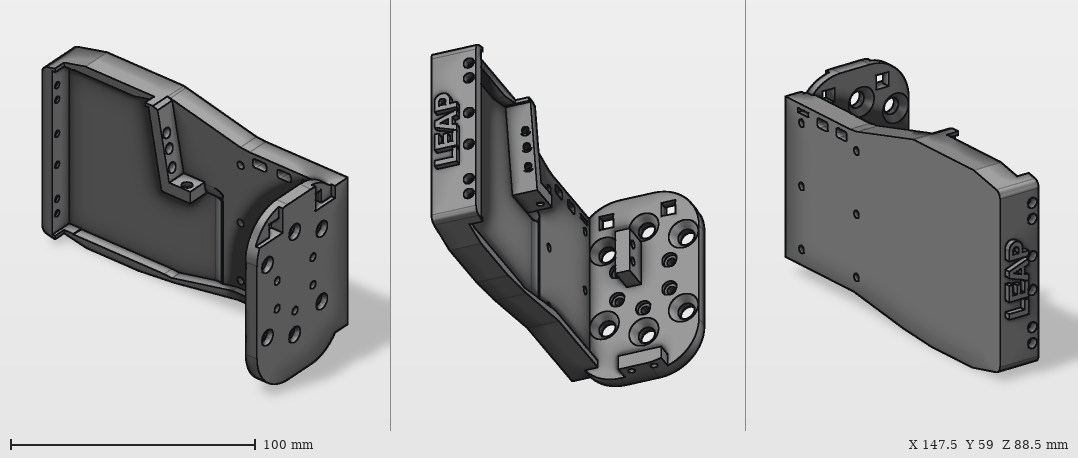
import cadquery as cq
import math


LENGTH = 147.5
DEPTH = 59.0
HEIGHT = 88.5

LETTER_RELIEF = 2.8
TRAY_LEFT = LETTER_RELIEF
POCKET_FLOOR = 8.8
ARM_FLOOR = 10.5
LEDGE_FLOOR = 10.2
RIM_HEIGHT = 14.0
WALL_HEIGHT = 19.9
TRAY_BOTTOM = 0.6
ARM_BOTTOM = 7.5
ARM_TOP = 78.8
TRAY_CORNER_RADIUS = 3.4

END_WALL_INNER = 8.1
HOOK_END = 9.6
INNER_BOTTOM = 4.7
INNER_TOP = 84.1
RIM_JOG_X = 14.5
RIM_JOG = 0.3
ARM_RIM_INNER = 10.8

SLANT_LEFT_TOP = (58.7, 87.2)
SLANT_LEFT_FOOT = (65.6, 49.0)
SLANT_RIGHT_TOP = (63.5, 87.5)
SLANT_RIGHT_FOOT = (69.6, 54.7)
SLANT_THICKNESS = 5.0
SLANT_SHOULDER_X = 57.0
SLANT_CREST_X = 61.0
BLOCK_END = 80.7

STEP_START = 84.8
STEP_END = 89.1
LEDGE_END = 90.1
RELIEF_TOP = 54.0
RELIEF_CORNER_Z = 52.0
RELIEF_ARC_MIDDLE = (88.2, 53.4)

SCREW_DEPTH = 16.7
SCREW_HOLE = 3.0
SCREW_SEAT = 4.5
SCREW_SHOULDER = 1.2
SCREW_OVERRUN = 0.5
MIDDLE_Z = 44.5
END_SCREW_OFFSETS = (7.5, 24.0, 31.1)
SLANT_SCREW_Z = (60.0, 68.6, 75.7)
BLOCK_SCREW_X = 76.4

ARM_HOLE = 3.4
ARM_HOLE_X = (99.5, 136.6)
ARM_HOLE_Z = 42.5
ARM_HOLE_PITCH = 28.0
CABLE_SLOT_X = (109.6, 122.4)
CABLE_SLOT_Z = 74.5
CABLE_SLOT_SIZE = (7.4, 4.1)
CABLE_SLOT_CORNER = 1.5
STRAP_SLOT_CENTRE = (135.5, 75.5)
STRAP_SLOT_SIZE = (7.0, 1.9)

FLANGE_FACE = 141.5
FLANGE_BACK_EDGE = 3.8
FLANGE_HEIGHT = 85.0
FLANGE_RADIUS = 20.0
BOLT_CENTRE_Y = -34.5
BOLT_CIRCLE_RADIUS = 25.0
BOLT_HOLE = 7.2
BOLT_HEAD = 13.1
BOLT_ANGLES = (45, 90, 135, 225, 270, 315)
HORN_CENTRE_Y = -34.2
HORN_CIRCLE_RADIUS = 13.4
HORN_HOLE = 3.5
HORN_HEAD = 6.5
HORN_HEAD_DEPTH = 2.0
HORN_ANGLES = (30, 150, 210, 270, 330)
WINDOW_SIZE = 6.3
WINDOW_BOTTOM = 72.9
WINDOW_Y = (-21.0, -48.5)
RECESS_DEPTH = 2.0
RECESS_BACK_EDGE = 8.3

UPPER_LUG_X = 129.5
UPPER_LUG_Y = (-33.3, -27.0)
UPPER_LUG_Z = (42.6, 62.7)
UPPER_LUG_HOLE = 3.5
UPPER_LUG_HOLE_X = 132.9
UPPER_LUG_HOLE_Z = (48.8, 57.0)
LOWER_LUG_X = 134.7
LOWER_LUG_Y = (-45.1, -26.1)
LOWER_LUG_TOP = 6.3
LOWER_LUG_HOLE = 3.0
LOWER_LUG_HOLE_X = 137.9
LOWER_LUG_HOLE_SPACING = 10.0

LETTER_BASE_Y = -12.5
LETTER_HEIGHT = 9.9
BAR = 1.9
STEM = 2.5
L_RANGE = (28.3, 35.3)
E_RANGE = (36.0, 43.4)
A_RANGE = (43.2, 53.1)
P_RANGE = (54.1, 62.1)
E_MIDDLE_SETBACK = 0.7
A_FOOT = 2.8
A_FOOT_SLOPE = 0.6
A_APEX = 3.0
A_COUNTER_WIDTH = 2.4
A_COUNTER_TIP = 7.4
P_BOWL_HEIGHT = 6.8
P_BOWL_RADIUS = 3.2

MARGIN = 7.4


def box(x_range, y_range, z_range):
    """Box spanning the given ranges."""
    sizes = [end - start for start, end in (x_range, y_range, z_range)]
    corner = (x_range[0], y_range[0], z_range[0])
    return cq.Workplane("XY").box(*sizes, centered=False).translate(corner)


def slab(points, start, end):
    """XZ outline filled between two heights above the back face."""
    return cq.Workplane("XZ", origin=(0, -start, 0)).polyline(points).close().extrude(end - start)


def cylinder(start, direction, diameter, length):
    return cq.Workplane(cq.Solid.makeCylinder(diameter / 2, length, cq.Vector(*start), cq.Vector(*direction)))


def tangent_arc_middle(run, rise):
    """Middle point of an arc that leaves the origin along the run and ends at (run, rise)."""
    radius = (run**2 + rise**2) / (2 * rise)
    half_angle = math.asin(run / radius) / 2
    return radius * math.sin(half_angle), radius * (1 - math.cos(half_angle))


def tray_outline(height):
    points = [
        (TRAY_LEFT, 4.4),
        (21.4, TRAY_BOTTOM),
        (49.0, TRAY_BOTTOM),
        (67.8, 2.4),
        (101.2, ARM_BOTTOM),
        (LENGTH, ARM_BOTTOM),
        (LENGTH, ARM_TOP),
        (104.1, ARM_TOP),
        (99.3, 79.2),
        (62.4, 88.2),
        (SLANT_CREST_X, HEIGHT),
        (20.6, HEIGHT),
        (TRAY_LEFT, 84.4),
    ]
    return slab(points, 0, height).edges("|Y").edges("<X").fillet(TRAY_CORNER_RADIUS)


def rim_interior(start, end):
    """Space inside the rim; the arm has no rim along its upper edge."""
    points = [
        (END_WALL_INNER, INNER_BOTTOM),
        (RIM_JOG_X, INNER_BOTTOM),
        (RIM_JOG_X, INNER_BOTTOM - RIM_JOG),
        (62.0, INNER_BOTTOM - RIM_JOG),
        (66.1, 4.1),
        (97.8, ARM_RIM_INNER),
        (LENGTH, ARM_RIM_INNER),
        (LENGTH, HEIGHT + MARGIN),
        (SLANT_CREST_X, HEIGHT + MARGIN),
        (SLANT_CREST_X, SLANT_LEFT_TOP[1]),
        SLANT_LEFT_TOP,
        (46.2, INNER_TOP + RIM_JOG),
        (RIM_JOG_X, INNER_TOP + RIM_JOG),
        (RIM_JOG_X, INNER_TOP),
        (END_WALL_INNER, INNER_TOP),
    ]
    return slab(points, start, end)


def deep_pocket():
    """Deeper floor left of the slanted wall and below its block, curving up to the arm floor."""
    rise = LEDGE_FLOOR - POCKET_FLOOR
    arc_x, arc_y = tangent_arc_middle(STEP_END - STEP_START, rise)
    lower = (
        cq.Workplane("XY")
        .moveTo(0, -POCKET_FLOOR)
        .lineTo(STEP_START, -POCKET_FLOOR)
        .threePointArc((STEP_START + arc_x, -POCKET_FLOOR - arc_y), (STEP_END, -LEDGE_FLOOR))
        .lineTo(LEDGE_END, -LEDGE_FLOOR)
        .lineTo(LEDGE_END, -ARM_FLOOR)
        .lineTo(0, -ARM_FLOOR)
        .close()
        .extrude(SLANT_LEFT_FOOT[1])
    )
    foot_z = SLANT_LEFT_FOOT[1]
    upper = slab(
        [(0, foot_z), SLANT_LEFT_FOOT, SLANT_LEFT_TOP, (SLANT_LEFT_TOP[0], HEIGHT), (0, HEIGHT)],
        POCKET_FLOOR,
        ARM_FLOOR,
    )
    return lower.union(upper).intersect(rim_interior(POCKET_FLOOR, ARM_FLOOR))


def block_relief():
    """Rounded relief in the arm floor beside the screw block."""
    foot_z = SLANT_LEFT_FOOT[1]
    rise = ARM_FLOOR - POCKET_FLOOR
    arc_z, arc_y = tangent_arc_middle(RELIEF_TOP - foot_z, rise)
    bevel = (
        cq.Workplane("YZ", origin=(BLOCK_END, 0, 0))
        .moveTo(-ARM_FLOOR, RELIEF_TOP)
        .threePointArc((-ARM_FLOOR + arc_y, RELIEF_TOP - arc_z), (-POCKET_FLOOR, foot_z))
        .lineTo(-ARM_FLOOR, foot_z)
        .close()
        .extrude(LEDGE_END - BLOCK_END)
    )
    outline = (
        cq.Workplane("XZ")
        .moveTo(BLOCK_END, foot_z)
        .lineTo(LEDGE_END, foot_z)
        .lineTo(LEDGE_END, RELIEF_CORNER_Z)
        .threePointArc(RELIEF_ARC_MIDDLE, (STEP_START, RELIEF_TOP))
        .lineTo(BLOCK_END, RELIEF_TOP)
        .close()
        .extrude(ARM_FLOOR)
    )
    return bevel.intersect(outline)


def standing_walls():
    """End wall with its two hooks, and the slanted wall with its screw block."""
    end_wall = box((TRAY_LEFT, HOOK_END), (-WALL_HEIGHT, 0), (0, HEIGHT)).cut(
        box((END_WALL_INNER, HOOK_END), (-WALL_HEIGHT, 0), (INNER_BOTTOM, INNER_TOP))
    )
    end_wall = end_wall.cut(box((END_WALL_INNER, HOOK_END), (-RIM_HEIGHT, 0), (0, HEIGHT)))
    slanted_wall = slab(
        [
            (SLANT_SHOULDER_X, HEIGHT),
            (SLANT_SHOULDER_X, 86.7),
            SLANT_LEFT_TOP,
            SLANT_LEFT_FOOT,
            (BLOCK_END, SLANT_LEFT_FOOT[1]),
            (BLOCK_END, SLANT_RIGHT_FOOT[1]),
            SLANT_RIGHT_FOOT,
            SLANT_RIGHT_TOP,
            (SLANT_CREST_X, HEIGHT),
        ],
        0,
        WALL_HEIGHT,
    )
    return end_wall.union(slanted_wall).intersect(tray_outline(WALL_HEIGHT))


def slant_right_x(z):
    """X of the slanted wall's right face at height z."""
    (top_x, top_z), (foot_x, foot_z) = SLANT_RIGHT_TOP, SLANT_RIGHT_FOOT
    return foot_x + (z - foot_z) * (top_x - foot_x) / (top_z - foot_z)


def screw_hole(start, direction, length):
    """Through hole with a wide, deep seat at the end where the screw enters."""
    hole = cylinder(start, direction, SCREW_HOLE, length)
    return hole.union(cylinder(start, direction, SCREW_SEAT, length - SCREW_SHOULDER))


def wall_screw_holes():
    holes = cq.Workplane("XY")
    for offset in END_SCREW_OFFSETS:
        for z in (MIDDLE_Z - offset, MIDDLE_Z + offset):
            start = (TRAY_LEFT, -SCREW_DEPTH, z)
            holes = holes.union(screw_hole(start, (1, 0, 0), END_WALL_INNER - TRAY_LEFT))
    for z in SLANT_SCREW_Z:
        start = (slant_right_x(z) + SCREW_OVERRUN, -SCREW_DEPTH, z)
        holes = holes.union(screw_hole(start, (-1, 0, 0), SLANT_THICKNESS + 2 * SCREW_OVERRUN))
    block_top = (BLOCK_SCREW_X, -SCREW_DEPTH, SLANT_RIGHT_FOOT[1])
    return holes.union(screw_hole(block_top, (0, 0, -1), SLANT_RIGHT_FOOT[1] - SLANT_LEFT_FOOT[1]))


def arm_openings():
    plane = cq.Workplane("XZ")
    hole_centres = [(x, ARM_HOLE_Z + row * ARM_HOLE_PITCH) for x in ARM_HOLE_X for row in (-1, 0, 1)]
    holes = plane.pushPoints(hole_centres).circle(ARM_HOLE / 2).extrude(ARM_FLOOR)
    cable_slots = (
        plane.pushPoints([(x, CABLE_SLOT_Z) for x in CABLE_SLOT_X])
        .rect(*CABLE_SLOT_SIZE)
        .extrude(ARM_FLOOR)
        .edges("|Y")
        .fillet(CABLE_SLOT_CORNER)
    )
    strap_slot = plane.center(*STRAP_SLOT_CENTRE).rect(*STRAP_SLOT_SIZE).extrude(ARM_FLOOR)
    return holes.union(cable_slots).union(strap_slot)


def flange_prism(x_start):
    """Rounded flange outline filled from x_start to the far end of the part."""
    return (
        box((x_start, LENGTH), (-DEPTH, -FLANGE_BACK_EDGE), (0, FLANGE_HEIGHT))
        .edges("|X")
        .fillet(FLANGE_RADIUS)
    )


def ring_points(centre_y, radius, angles):
    """(Y, Z) places of holes around a circle on the flange."""
    return [
        (centre_y + radius * math.cos(math.radians(a)), MIDDLE_Z + radius * math.sin(math.radians(a)))
        for a in angles
    ]


def flange_cutouts():
    cutouts = cq.Workplane("XY")
    thickness = LENGTH - FLANGE_FACE
    countersink_depth = (BOLT_HEAD - BOLT_HOLE) / 2
    for y, z in ring_points(BOLT_CENTRE_Y, BOLT_CIRCLE_RADIUS, BOLT_ANGLES):
        start = (FLANGE_FACE, y, z)
        cone = cq.Solid.makeCone(
            BOLT_HEAD / 2, BOLT_HOLE / 2, countersink_depth, cq.Vector(*start), cq.Vector(1, 0, 0)
        )
        cutouts = cutouts.add(cylinder(start, (1, 0, 0), BOLT_HOLE, thickness)).add(cone)
    for y, z in ring_points(HORN_CENTRE_Y, HORN_CIRCLE_RADIUS, HORN_ANGLES):
        start = (FLANGE_FACE, y, z)
        cutouts = cutouts.add(cylinder(start, (1, 0, 0), HORN_HOLE, thickness))
        cutouts = cutouts.add(cylinder(start, (1, 0, 0), HORN_HEAD, HORN_HEAD_DEPTH))
    window_z = (WINDOW_BOTTOM, WINDOW_BOTTOM + WINDOW_SIZE)
    for y in WINDOW_Y:
        cutouts = cutouts.add(box((FLANGE_FACE, LENGTH), (y, y + WINDOW_SIZE), window_z))
    recess_x = (LENGTH - RECESS_DEPTH, LENGTH)
    recess_z = (WINDOW_BOTTOM, FLANGE_HEIGHT)
    cutouts = cutouts.add(box(recess_x, (WINDOW_Y[0], -RECESS_BACK_EDGE), recess_z))
    cutouts = cutouts.add(box(recess_x, (-DEPTH, WINDOW_Y[1] + WINDOW_SIZE), recess_z))
    return cutouts.combine()


def lugs():
    upper = box((UPPER_LUG_X, FLANGE_FACE), UPPER_LUG_Y, UPPER_LUG_Z)
    for z in UPPER_LUG_HOLE_Z:
        start = (UPPER_LUG_HOLE_X, UPPER_LUG_Y[0], z)
        upper = upper.cut(cylinder(start, (0, 1, 0), UPPER_LUG_HOLE, UPPER_LUG_Y[1] - UPPER_LUG_Y[0]))
    lower = box((LOWER_LUG_X, FLANGE_FACE), LOWER_LUG_Y, (0, LOWER_LUG_TOP))
    lower = lower.intersect(flange_prism(LOWER_LUG_X))
    for side in (-1, 1):
        y = sum(LOWER_LUG_Y) / 2 + side * LOWER_LUG_HOLE_SPACING / 2
        lower = lower.cut(cylinder((LOWER_LUG_HOLE_X, y, 0), (0, 0, 1), LOWER_LUG_HOLE, LOWER_LUG_TOP))
    return upper.union(lower)


def letter_plate(points):
    """Raised outline on the end wall from (place along Z, height above the letter base) points."""
    outline = [(LETTER_BASE_Y + height, z) for z, height in points]
    return cq.Workplane("YZ").polyline(outline).close().extrude(LETTER_RELIEF)


def letter_bar(z_range, heights):
    return box((0, LETTER_RELIEF), [LETTER_BASE_Y + height for height in heights], z_range)


def lettering():
    full_height = (0, LETTER_HEIGHT)
    foot = (0, BAR)
    middle = ((LETTER_HEIGHT - BAR) / 2, (LETTER_HEIGHT + BAR) / 2)
    head = (LETTER_HEIGHT - BAR, LETTER_HEIGHT)

    letters = letter_bar((L_RANGE[0], L_RANGE[0] + STEM), full_height).union(letter_bar(L_RANGE, foot))

    letters = letters.union(letter_bar((E_RANGE[0], E_RANGE[0] + STEM), full_height))
    for heights in (foot, head):
        letters = letters.union(letter_bar(E_RANGE, heights))
    letters = letters.union(letter_bar((E_RANGE[0], E_RANGE[1] - E_MIDDLE_SETBACK), middle))

    left, right = A_RANGE
    apex = (left + right) / 2
    crossbar = (BAR, 2 * BAR)
    letter_a = letter_plate(
        [
            (left, 0),
            (left + A_FOOT, 0),
            (left + A_FOOT + A_FOOT_SLOPE, crossbar[0]),
            (right - A_FOOT - A_FOOT_SLOPE, crossbar[0]),
            (right - A_FOOT, 0),
            (right, 0),
            (apex + A_APEX / 2, LETTER_HEIGHT),
            (apex - A_APEX / 2, LETTER_HEIGHT),
        ]
    )
    counter = [
        (apex - A_COUNTER_WIDTH / 2, crossbar[1]),
        (apex + A_COUNTER_WIDTH / 2, crossbar[1]),
        (apex, A_COUNTER_TIP),
    ]
    letters = letters.union(letter_a.cut(letter_plate(counter)))

    bowl = letter_bar(P_RANGE, (LETTER_HEIGHT - P_BOWL_HEIGHT, LETTER_HEIGHT))
    bowl = bowl.edges("|X").edges(">Z").fillet(P_BOWL_RADIUS)
    opening = letter_bar(
        (P_RANGE[0] + STEM, P_RANGE[1] - STEM),
        (LETTER_HEIGHT - P_BOWL_HEIGHT + BAR, LETTER_HEIGHT - BAR),
    )
    opening = opening.edges("|X").edges(">Z").fillet(P_BOWL_RADIUS - BAR)
    letter_p = bowl.cut(opening).union(letter_bar((P_RANGE[0], P_RANGE[0] + STEM), full_height))
    return letters.union(letter_p)


tray = tray_outline(RIM_HEIGHT).cut(rim_interior(ARM_FLOOR, RIM_HEIGHT))
tray = tray.cut(deep_pocket()).cut(block_relief())
tray = tray.union(standing_walls()).cut(wall_screw_holes()).cut(arm_openings())
flange = flange_prism(FLANGE_FACE)
result = tray.union(flange).cut(flange_cutouts()).union(lugs()).union(lettering())